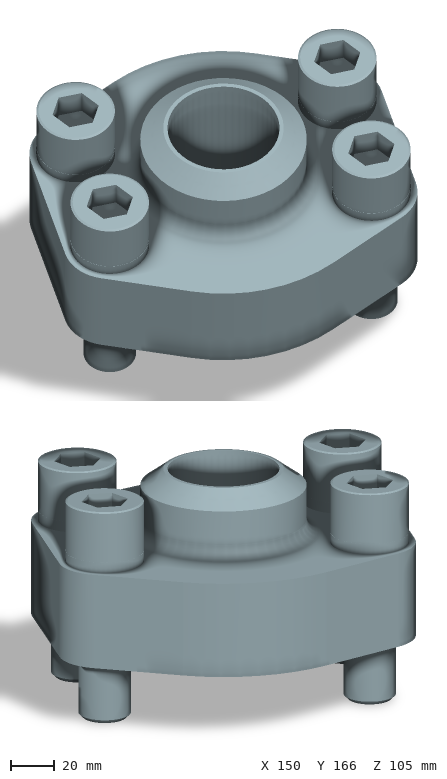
import cadquery as cq
import math

PLATE_LENGTH = 166.0
PLATE_WIDTH = 150.0
PLATE_THICKNESS = 45.0
SIDE_RADIUS = PLATE_WIDTH / 2
CORNER_RADIUS = 21.0

BOLT_X = 29.4
BOLT_Y = PLATE_LENGTH / 2 - CORNER_RADIUS

NECK_DIAMETER = 76.0
NECK_HEIGHT = 30.0
NECK_TIP_DIAMETER = 55.0
NECK_BEVEL_HEIGHT = 7.8
NECK_ROOT_RADIUS = 6.1
BORE_DIAMETER = 51.1

WASHER_DIAMETER = 36.0
WASHER_THICKNESS = 5.0
HEAD_DIAMETER = 35.9
HEAD_HEIGHT = 24.0
HEAD_EDGE_HEIGHT = 0.5
HEAD_EDGE_WIDTH = 1.0
SHANK_DIAMETER = 24.0
SHANK_PROTRUSION = 30.0
SHANK_TIP_CHAMFER = 2.0
SOCKET_ACROSS_FLATS = 19.0
SOCKET_DEPTH = 12.0


def polar(center_x, center_y, radius, angle):
    """Point on a circle, with the angle in radians from +X."""
    return (center_x + radius * math.cos(angle), center_y + radius * math.sin(angle))


def make_plate():
    """Plate outlined by two side arcs and four corner arcs joined by tangent lines."""
    bolt_distance = math.hypot(BOLT_X, BOLT_Y)
    bolt_angle = math.atan2(BOLT_Y, BOLT_X)
    tangent_angle = bolt_angle - math.acos((SIDE_RADIUS - CORNER_RADIUS) / bolt_distance)
    corner_mid_angle = (tangent_angle + math.pi / 2) / 2

    side_x, side_y = polar(0, 0, SIDE_RADIUS, tangent_angle)
    corner_x, corner_y = polar(BOLT_X, BOLT_Y, CORNER_RADIUS, tangent_angle)
    mid_x, mid_y = polar(BOLT_X, BOLT_Y, CORNER_RADIUS, corner_mid_angle)
    end_y = PLATE_LENGTH / 2

    outline = (
        cq.Workplane("XY")
        .moveTo(side_x, -side_y)
        .threePointArc((SIDE_RADIUS, 0), (side_x, side_y))
        .lineTo(corner_x, corner_y)
        .threePointArc((mid_x, mid_y), (BOLT_X, end_y))
        .lineTo(-BOLT_X, end_y)
        .threePointArc((-mid_x, mid_y), (-corner_x, corner_y))
        .lineTo(-side_x, side_y)
        .threePointArc((-SIDE_RADIUS, 0), (-side_x, -side_y))
        .lineTo(-corner_x, -corner_y)
        .threePointArc((-mid_x, -mid_y), (-BOLT_X, -end_y))
        .lineTo(BOLT_X, -end_y)
        .threePointArc((mid_x, -mid_y), (corner_x, -corner_y))
        .close()
    )
    return outline.extrude(PLATE_THICKNESS)


def make_neck():
    """Revolved weld neck with a concave root fillet and a bevelled tip."""
    neck_radius = NECK_DIAMETER / 2
    root_z = PLATE_THICKNESS
    tip_z = root_z + NECK_HEIGHT
    fillet_mid = polar(
        neck_radius + NECK_ROOT_RADIUS, root_z + NECK_ROOT_RADIUS, NECK_ROOT_RADIUS, math.radians(225)
    )
    return (
        cq.Workplane("XZ")
        .moveTo(0, root_z)
        .lineTo(neck_radius + NECK_ROOT_RADIUS, root_z)
        .threePointArc(fillet_mid, (neck_radius, root_z + NECK_ROOT_RADIUS))
        .lineTo(neck_radius, tip_z - NECK_BEVEL_HEIGHT)
        .lineTo(NECK_TIP_DIAMETER / 2, tip_z)
        .lineTo(0, tip_z)
        .close()
        .revolve(360, (0, 0, 0), (0, 1, 0))
    )


def make_bolt():
    """Washer and socket head bolt on the Z axis, seated on top of the plate."""
    shank = (
        cq.Workplane("XY")
        .workplane(offset=-SHANK_PROTRUSION)
        .circle(SHANK_DIAMETER / 2)
        .extrude(SHANK_PROTRUSION + PLATE_THICKNESS)
        .faces("<Z")
        .chamfer(SHANK_TIP_CHAMFER)
    )
    washer = (
        cq.Workplane("XY")
        .workplane(offset=PLATE_THICKNESS)
        .circle(WASHER_DIAMETER / 2)
        .extrude(WASHER_THICKNESS)
    )
    head = (
        cq.Workplane("XY")
        .workplane(offset=PLATE_THICKNESS + WASHER_THICKNESS)
        .circle(HEAD_DIAMETER / 2)
        .extrude(HEAD_HEIGHT)
        .faces(">Z")
        .chamfer(HEAD_EDGE_HEIGHT, HEAD_EDGE_WIDTH)
    )
    socket_across_corners = SOCKET_ACROSS_FLATS / math.cos(math.radians(30))
    socket = (
        cq.Workplane("XY")
        .workplane(offset=PLATE_THICKNESS + WASHER_THICKNESS + HEAD_HEIGHT - SOCKET_DEPTH)
        .transformed(rotate=(0, 0, 90))
        .polygon(6, socket_across_corners)
        .extrude(SOCKET_DEPTH)
    )
    return shank.union(washer).union(head).cut(socket)


bore = cq.Workplane("XY").circle(BORE_DIAMETER / 2).extrude(PLATE_THICKNESS + NECK_HEIGHT)

result = make_plate().union(make_neck()).cut(bore)
bolt = make_bolt()
for x in (-BOLT_X, BOLT_X):
    for y in (-BOLT_Y, BOLT_Y):
        result = result.union(bolt.translate((x, y, 0)))